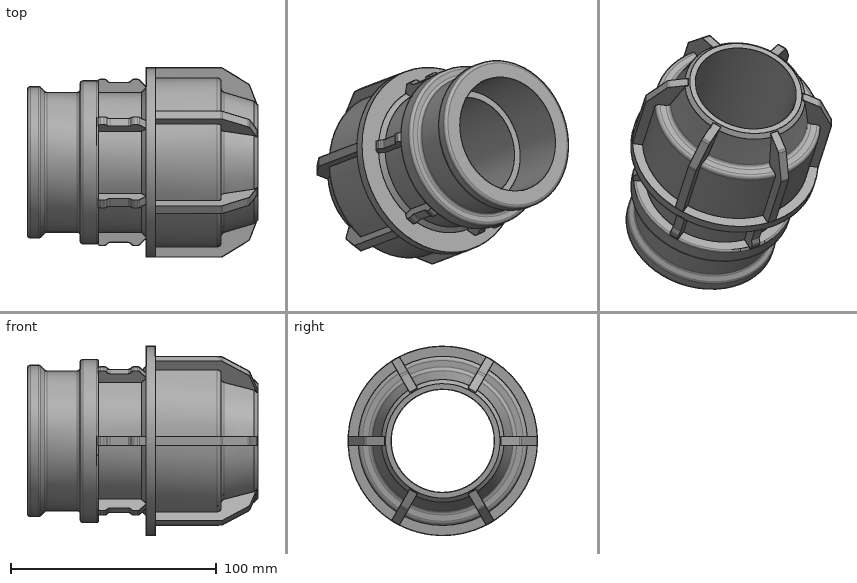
import cadquery as cq
import math


LENGTH = 112.0
MOUTH_RADIUS = 56.66 / 2
BORE_RADIUS = 50.0 / 2
MOUTH_DEPTH = 30.0
RIB_COUNT = 6
RIB_WIDTH = 4.35

LIP_RADIUS = 1.3 * MOUTH_RADIUS
NECK_RADIUS = 1.2 * MOUTH_RADIUS
COLLAR_RADIUS = 1.4 * MOUTH_RADIUS
LIP_LENGTH = 5.95
COLLAR_START = 25.6
COLLAR_END = 34.5
SPIGOT_FILLET = 1.5
COLLAR_END_FILLET = 1.0

FLANGE_RADIUS = 92.0 / 2
FLANGE_START = 57.6
FLANGE_END = 62.1
FLANGE_CONE_HEIGHT = 2.3

NUT_RADIUS = 1.45 * MOUTH_RADIUS
NUT_STEP_X = 94.1
NUT_FILLET = 2.0
NOSE_BASE_RADIUS = 34.5
NOSE_TIP_RADIUS = 29.8
END_CHAMFER = 2.0

LUG_RADIUS = 40.4
SADDLE_RADIUS = 38.9
LUG_RAMP = LUG_RADIUS - SADDLE_RADIUS
SLEEVE_RIB_START = 34.1
FIRST_LUG_END = 37.9
SECOND_LUG_START = 51.1
SECOND_LUG_END = 54.0
LUG_FILLET = 1.5

NUT_RIB_SHOULDER_X = 94.4
NUT_RIB_KNEE_X = 107.8
NUT_RIB_KNEE_RADIUS = 37.8
NUT_RIB_SETBACK = 0.6
NUT_RIB_END_X = LENGTH - NUT_RIB_SETBACK
NUT_RIB_END_RADIUS = NOSE_TIP_RADIUS - END_CHAMFER + NUT_RIB_SETBACK
NUT_RIB_SHOULDER_FILLET = 1.5
NUT_RIB_KNEE_FILLET = 2.0

RIB_EMBED = 2.0
SLEEVE_RIB_ROOT = MOUTH_RADIUS + RIB_EMBED
NUT_RIB_ROOT = BORE_RADIUS + RIB_EMBED


def unit_vector(start, end):
    """Direction from start to end, of length one."""
    length = math.hypot(end[0] - start[0], end[1] - start[1])
    return (end[0] - start[0]) / length, (end[1] - start[1]) / length


def rounded_outline(corners):
    """Closed XY outline from (x, radius, fillet) corners; the first corner is sharp."""
    outline = cq.Workplane("XY").moveTo(*corners[0][:2])
    for index in range(1, len(corners)):
        x, y, fillet = corners[index]
        if fillet == 0:
            outline = outline.lineTo(x, y)
            continue
        back = unit_vector((x, y), corners[index - 1])
        ahead = unit_vector((x, y), corners[(index + 1) % len(corners)])
        half_angle = math.acos(back[0] * ahead[0] + back[1] * ahead[1]) / 2
        setback = fillet / math.tan(half_angle)
        bisector = unit_vector((0, 0), (back[0] + ahead[0], back[1] + ahead[1]))
        middle = fillet / math.sin(half_angle) - fillet
        outline = outline.lineTo(x + setback * back[0], y + setback * back[1])
        outline = outline.threePointArc(
            (x + middle * bisector[0], y + middle * bisector[1]),
            (x + setback * ahead[0], y + setback * ahead[1]),
        )
    return outline.close()


def turned_body():
    """Solid of revolution about X, with the stepped bore."""
    lip_drop = LIP_RADIUS - NECK_RADIUS
    corners = [
        (0, MOUTH_RADIUS, 0),
        (0, LIP_RADIUS, SPIGOT_FILLET),
        (LIP_LENGTH, LIP_RADIUS, SPIGOT_FILLET),
        (LIP_LENGTH + lip_drop, NECK_RADIUS, SPIGOT_FILLET),
        (COLLAR_START, NECK_RADIUS, SPIGOT_FILLET),
        (COLLAR_START, COLLAR_RADIUS, SPIGOT_FILLET),
        (COLLAR_END, COLLAR_RADIUS, COLLAR_END_FILLET),
        (COLLAR_END, NECK_RADIUS, 0),
        (FLANGE_START - FLANGE_CONE_HEIGHT, NECK_RADIUS, 0),
        (FLANGE_START, NECK_RADIUS + FLANGE_CONE_HEIGHT, 0),
        (FLANGE_START, FLANGE_RADIUS, 0),
        (FLANGE_END, FLANGE_RADIUS, 0),
        (FLANGE_END, NUT_RADIUS, 0),
        (NUT_STEP_X, NUT_RADIUS, NUT_FILLET),
        (NUT_STEP_X, NOSE_BASE_RADIUS, NUT_FILLET),
        (LENGTH - END_CHAMFER, NOSE_TIP_RADIUS, 0),
        (LENGTH, NOSE_TIP_RADIUS - END_CHAMFER, 0),
        (LENGTH, BORE_RADIUS, 0),
        (MOUTH_DEPTH, BORE_RADIUS, 0),
        (MOUTH_DEPTH, MOUTH_RADIUS, 0),
    ]
    return rounded_outline(corners).revolve(360, (0, 0, 0), (1, 0, 0))


def sleeve_rib_outline():
    flange_drop = FLANGE_START - SECOND_LUG_END
    return rounded_outline([
        (SLEEVE_RIB_START, SLEEVE_RIB_ROOT, 0),
        (SLEEVE_RIB_START, LUG_RADIUS, LUG_FILLET),
        (FIRST_LUG_END, LUG_RADIUS, LUG_FILLET),
        (FIRST_LUG_END + LUG_RAMP, SADDLE_RADIUS, LUG_FILLET),
        (SECOND_LUG_START - LUG_RAMP, SADDLE_RADIUS, LUG_FILLET),
        (SECOND_LUG_START, LUG_RADIUS, LUG_FILLET),
        (SECOND_LUG_END, LUG_RADIUS, LUG_FILLET),
        (FLANGE_START, LUG_RADIUS - flange_drop, 0),
        (FLANGE_START, SLEEVE_RIB_ROOT, 0),
    ])


def nut_rib_outline():
    return rounded_outline([
        (FLANGE_END, NUT_RIB_ROOT, 0),
        (FLANGE_END, FLANGE_RADIUS, 0),
        (NUT_RIB_SHOULDER_X, FLANGE_RADIUS, NUT_RIB_SHOULDER_FILLET),
        (NUT_RIB_KNEE_X, NUT_RIB_KNEE_RADIUS, NUT_RIB_KNEE_FILLET),
        (NUT_RIB_END_X, NUT_RIB_END_RADIUS, 0),
        (NUT_RIB_END_X, NUT_RIB_ROOT, 0),
    ])


def add_ribs(body, outline):
    """Join equally spaced copies of one rib, the first pointing along +Y."""
    rib = outline.extrude(RIB_WIDTH / 2, both=True)
    for index in range(RIB_COUNT):
        angle = index * 360 / RIB_COUNT
        body = body.union(rib.rotate((0, 0, 0), (1, 0, 0), angle))
    return body


result = turned_body()
result = add_ribs(result, sleeve_rib_outline())
result = add_ribs(result, nut_rib_outline())